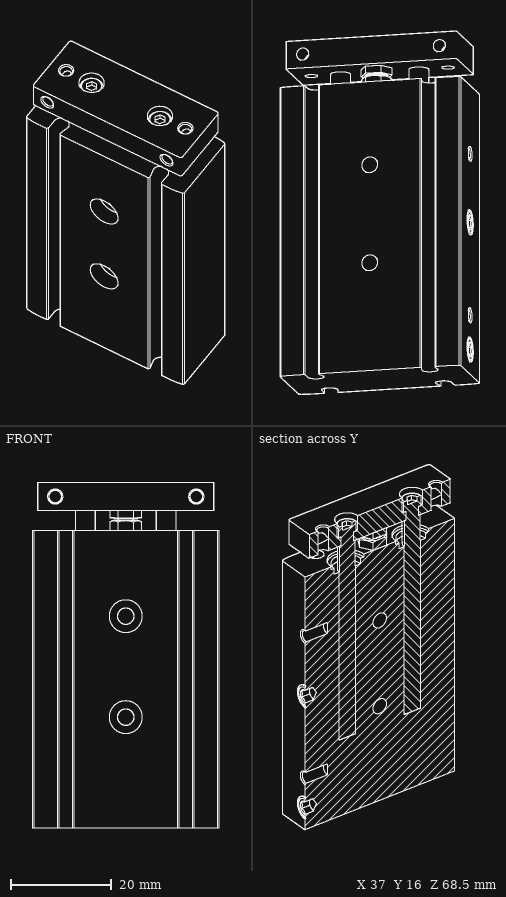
import cadquery as cq
import math

TOTAL_HEIGHT = 68.5

HOUSING_WIDTH = 37.0
HOUSING_DEPTH = 16.0
HOUSING_HEIGHT = 59.0
CROWN_START_X = 15.55
CROWN_END_X = 18.2
CROWN_DROP = 0.3
SIDE_HALF_DEPTH = 7.5

SLOT_X = 11.65
SLOT_DIAMETER = 3.2
SLOT_CENTRE_DEPTH = 2.5
SLOT_LIP_X = 10.55
SLOT_CHAMFER = 0.3

MOUNT_HOLE_DIAMETER = 3.2
MOUNT_BORE_DIAMETER = 6.5
MOUNT_BORE_DEPTH = 3.3
MOUNT_HOLE_HEIGHTS = (22.0, 42.0)

THREAD_DIAMETER = 3.0
TAP_DIAMETER = 2.5
TAP_CHAMFER = (THREAD_DIAMETER - TAP_DIAMETER) / 2

SIDE_HOLE_DEPTH = 5.5
SIDE_HOLE_HEIGHTS = (12.05, 45.0)
PORT_HEIGHTS = (5.1, 31.0)
DRILL_POINT_ANGLE = 118.0
PORT_SOCKET_FLATS = 2.5
PORT_SOCKET_DEPTH = 2.05
PORT_RING_DIAMETER = 5.0
PORT_RING_INNER_DIAMETER = 4.1
PORT_RING_DEPTH = 0.2

PLATE_WIDTH = 34.95
PLATE_DEPTH = 14.0
PLATE_HEIGHT = 5.6
PLATE_CORNER_RADIUS = 0.5
PLATE_HOLE_X = 14.0
PLATE_Z = TOTAL_HEIGHT - PLATE_HEIGHT

ROD_X = 8.0
ROD_DIAMETER = 4.0
ROD_ENGAGEMENT = 41.1
ROD_RECESS_DIAMETER = 8.0
ROD_RECESS_DEPTH = 0.7
ROD_SEAT_DIAMETER = 6.5
ROD_SEAT_DEPTH = 2.0
HEAD_BORE_DIAMETER = 5.0
HEAD_BORE_DEPTH = 3.4
HEAD_DIAMETER = 4.5
HEAD_CHAMFER = 0.3
HEAD_RECESS = 1.0
HEX_SOCKET_FLATS = 2.0
HEX_SOCKET_DEPTH = 1.0

BOLT_Y = 2.5
HEX_FLATS = 5.5
BOLT_HEAD_TOP_DIAMETER = 5.3
BOLT_HEAD_HEIGHT = 2.0
NUT_HEIGHT = 1.45
NUT_COLLAR_DIAMETER = 4.6
NUT_COLLAR_HEIGHT = 0.2
BOLT_ENGAGEMENT = 3.0


def hex_corners(flats):
    """Diameter across the corners of a hexagon of the given width across flats."""
    return flats / math.cos(math.pi / 6)


def y_cylinder(diameter, x, z, y_start, length):
    """Cylinder running along +Y from y_start."""
    return cq.Workplane(
        obj=cq.Solid.makeCylinder(diameter / 2, length, cq.Vector(x, y_start, z), cq.Vector(0, 1, 0))
    )


def tapped_hole(point, direction, depth):
    """Cutter for a tapped hole with a chamfered entry."""
    start = cq.Vector(*point)
    axis = cq.Vector(*direction)
    drill = cq.Solid.makeCylinder(TAP_DIAMETER / 2, depth, start, axis)
    entry = cq.Solid.makeCone(THREAD_DIAMETER / 2, TAP_DIAMETER / 2, TAP_CHAMFER, start, axis)
    return cq.Workplane(obj=drill.fuse(entry))


def housing_block():
    """Block whose front and back faces bend gently back toward the sides."""
    half_width = HOUSING_WIDTH / 2
    half_depth = HOUSING_DEPTH / 2
    bend_run = CROWN_END_X - CROWN_START_X
    bend_mid = (CROWN_START_X + bend_run / 2, half_depth - CROWN_DROP / 4)
    quarter = (
        cq.Workplane("XY")
        .lineTo(half_width, 0)
        .lineTo(half_width, SIDE_HALF_DEPTH)
        .lineTo(CROWN_END_X, half_depth - CROWN_DROP)
        .threePointArc(bend_mid, (CROWN_START_X, half_depth))
        .lineTo(0, half_depth)
        .close()
        .extrude(HOUSING_HEIGHT)
    )
    half = quarter.union(quarter.mirror("YZ"))
    return half.union(half.mirror("XZ")).clean()


def sensor_slot(side_x, side_y):
    """Cutter for one slot, in the quarter given by the signs of side_x and side_y."""
    radius = SLOT_DIAMETER / 2
    face_y = HOUSING_DEPTH / 2
    centre_y = face_y - SLOT_CENTRE_DEPTH
    outer_x = SLOT_X + radius
    slot = (
        cq.Workplane("XY")
        .moveTo(outer_x, centre_y)
        .lineTo(outer_x, face_y - SLOT_CHAMFER)
        .lineTo(outer_x + SLOT_CHAMFER, face_y)
        .lineTo(SLOT_LIP_X - SLOT_CHAMFER, face_y)
        .lineTo(SLOT_LIP_X, face_y - SLOT_CHAMFER)
        .lineTo(SLOT_X - radius, centre_y)
        .threePointArc((SLOT_X, centre_y - radius), (outer_x, centre_y))
        .close()
        .extrude(HOUSING_HEIGHT)
    )
    if side_x < 0:
        slot = slot.mirror("YZ")
    if side_y < 0:
        slot = slot.mirror("XZ")
    return slot


def port(z):
    """Cutter for a port: a hexagonal socket with a conical bottom, ringed by a V-groove."""
    face_x = -HOUSING_WIDTH / 2
    start = cq.Vector(face_x, 0, z)
    into = cq.Vector(1, 0, 0)
    bottom = cq.Vector(face_x + PORT_SOCKET_DEPTH, 0, z)
    point_radius = PORT_SOCKET_FLATS / 2
    point_length = point_radius / math.tan(math.radians(DRILL_POINT_ANGLE / 2))
    point = cq.Solid.makeCone(point_radius, 0, point_length, bottom, into)
    entry = cq.Solid.makeCone(THREAD_DIAMETER / 2, point_radius, TAP_CHAMFER, start, into)
    ring = cq.Solid.makeCylinder(PORT_RING_DIAMETER / 2, PORT_RING_DEPTH, start, into)
    core = cq.Solid.makeCone(
        PORT_RING_INNER_DIAMETER / 2, PORT_RING_DIAMETER / 2, PORT_RING_DEPTH, start, into
    )
    socket = (
        cq.Workplane("YZ", origin=(face_x, 0, z))
        .transformed(rotate=(0, 0, 90))
        .polygon(6, hex_corners(PORT_SOCKET_FLATS))
        .extrude(PORT_SOCKET_DEPTH)
    )
    for piece in (point, entry, ring.cut(core)):
        socket = socket.union(cq.Workplane(obj=piece))
    return socket


def rod_opening(x):
    """Cutter for a rod bore with its two-step recess at the top."""
    steps = (
        (ROD_DIAMETER, ROD_ENGAGEMENT),
        (ROD_SEAT_DIAMETER, ROD_SEAT_DEPTH),
        (ROD_RECESS_DIAMETER, ROD_RECESS_DEPTH),
    )
    opening = cq.Workplane("XY")
    for diameter, depth in steps:
        step = cq.Workplane("XY", origin=(x, 0, HOUSING_HEIGHT)).circle(diameter / 2).extrude(-depth)
        opening = opening.union(step)
    return opening


def make_housing():
    body = housing_block()
    for side_x in (-1, 1):
        for side_y in (-1, 1):
            body = body.cut(sensor_slot(side_x, side_y))
    front_y = -HOUSING_DEPTH / 2
    for z in MOUNT_HOLE_HEIGHTS:
        body = body.cut(y_cylinder(MOUNT_HOLE_DIAMETER, 0, z, front_y, HOUSING_DEPTH))
        body = body.cut(y_cylinder(MOUNT_BORE_DIAMETER, 0, z, front_y, MOUNT_BORE_DEPTH))
    for z in SIDE_HOLE_HEIGHTS:
        body = body.cut(tapped_hole((-HOUSING_WIDTH / 2, 0, z), (1, 0, 0), SIDE_HOLE_DEPTH))
    for z in PORT_HEIGHTS:
        body = body.cut(port(z))
    for side in (-1, 1):
        body = body.cut(rod_opening(side * ROD_X))
    return body


def make_plate():
    plate = (
        cq.Workplane("XY", origin=(0, 0, PLATE_Z))
        .rect(PLATE_WIDTH, PLATE_DEPTH)
        .extrude(PLATE_HEIGHT)
        .edges("|Z")
        .fillet(PLATE_CORNER_RADIUS)
    )
    hole_z = PLATE_Z + PLATE_HEIGHT / 2
    for side in (-1, 1):
        x = side * PLATE_HOLE_X
        plate = plate.cut(tapped_hole((x, -PLATE_DEPTH / 2, hole_z), (0, 1, 0), PLATE_DEPTH))
        plate = plate.cut(tapped_hole((x, 0, TOTAL_HEIGHT), (0, 0, -1), PLATE_HEIGHT))
    rod_points = [(-ROD_X, 0), (ROD_X, 0)]
    plate = (
        plate.faces(">Z")
        .workplane(origin=(0, 0, TOTAL_HEIGHT))
        .pushPoints(rod_points)
        .cboreHole(THREAD_DIAMETER, HEAD_BORE_DIAMETER, HEAD_BORE_DEPTH)
    )
    bolt_hole = (
        cq.Workplane("XY", origin=(0, BOLT_Y, PLATE_Z))
        .circle(THREAD_DIAMETER / 2)
        .extrude(BOLT_ENGAGEMENT)
    )
    return plate.cut(bolt_hole)


def make_rod(x):
    """Rod with a neck through the plate and a socket head in the plate's counterbore."""
    head_bottom = TOTAL_HEIGHT - HEAD_BORE_DEPTH
    head_top = TOTAL_HEIGHT - HEAD_RECESS
    rod_bottom = HOUSING_HEIGHT - ROD_ENGAGEMENT
    shaft = (
        cq.Workplane("XY", origin=(x, 0, rod_bottom)).circle(ROD_DIAMETER / 2).extrude(PLATE_Z - rod_bottom)
    )
    neck = (
        cq.Workplane("XY", origin=(x, 0, PLATE_Z)).circle(THREAD_DIAMETER / 2).extrude(head_bottom - PLATE_Z)
    )
    head = (
        cq.Workplane("XY", origin=(x, 0, head_bottom))
        .circle(HEAD_DIAMETER / 2)
        .extrude(head_top - head_bottom)
        .faces(">Z")
        .chamfer(HEAD_CHAMFER)
    )
    socket = (
        cq.Workplane("XY", origin=(x, 0, head_top))
        .polygon(6, hex_corners(HEX_SOCKET_FLATS))
        .extrude(-HEX_SOCKET_DEPTH)
    )
    return shaft.union(neck).union(head).cut(socket)


def hexagon(z, height):
    """Hexagonal prism on the bolt axis, standing on the given height."""
    return cq.Workplane("XY", origin=(0, BOLT_Y, z)).polygon(6, hex_corners(HEX_FLATS)).extrude(height)


def bolt_shank():
    bottom = HOUSING_HEIGHT + BOLT_HEAD_HEIGHT
    return (
        cq.Workplane("XY", origin=(0, BOLT_Y, bottom))
        .circle(THREAD_DIAMETER / 2)
        .extrude(PLATE_Z + BOLT_ENGAGEMENT - bottom)
    )


def make_stop_bolt():
    """Bolt whose head rests on the housing, with the top corners of the hexagon turned off."""
    corner_radius = hex_corners(HEX_FLATS) / 2
    top_radius = BOLT_HEAD_TOP_DIAMETER / 2
    chamfer_height = (corner_radius - top_radius) * math.tan(math.pi / 6)
    turned = (
        cq.Workplane("XZ", origin=(0, BOLT_Y, HOUSING_HEIGHT))
        .lineTo(corner_radius, 0)
        .lineTo(corner_radius, BOLT_HEAD_HEIGHT - chamfer_height)
        .lineTo(top_radius, BOLT_HEAD_HEIGHT)
        .lineTo(0, BOLT_HEAD_HEIGHT)
        .close()
        .revolve(360, (0, 0, 0), (0, 1, 0))
    )
    return hexagon(HOUSING_HEIGHT, BOLT_HEAD_HEIGHT).intersect(turned).union(bolt_shank())


def make_lock_nut():
    """Nut under the plate, with a round collar on its lower face."""
    bottom = PLATE_Z - NUT_HEIGHT
    collar = (
        cq.Workplane("XY", origin=(0, BOLT_Y, bottom))
        .circle(NUT_COLLAR_DIAMETER / 2)
        .extrude(-NUT_COLLAR_HEIGHT)
    )
    return hexagon(bottom, NUT_HEIGHT).union(collar).cut(bolt_shank())


housing = make_housing()
plate = make_plate()
rods = [make_rod(side * ROD_X) for side in (-1, 1)]
stop_bolt = make_stop_bolt()
lock_nut = make_lock_nut()

result = cq.Compound.makeCompound(
    [housing.val(), plate.val(), *[rod.val() for rod in rods], stop_bolt.val(), lock_nut.val()]
)